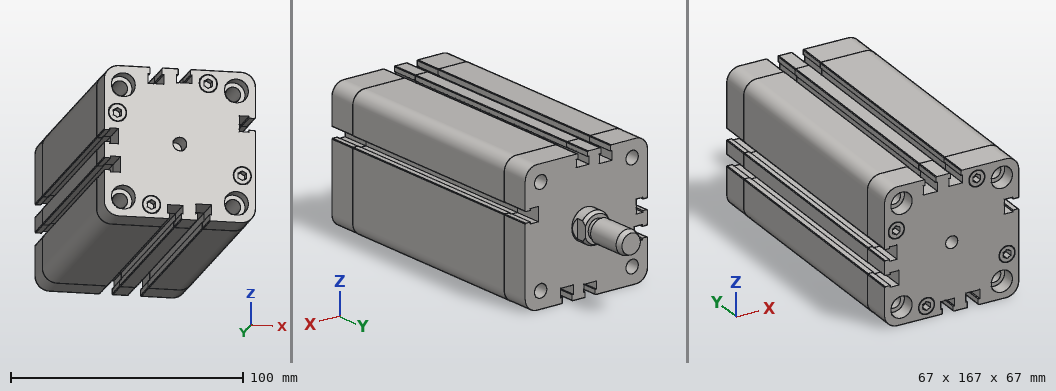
import cadquery as cq
import math


total_length = 167.0
rod_extension = 31.4
body_length = total_length - rod_extension
body_rear = -total_length / 2
body_front = body_rear + body_length

tube_width = 67.0
cap_length = 14.7
corner_radius = 6.5
cap_inset = 0.08

mouth_width = 5.2
mouth_chamfer = 0.3
deep_slot_offset = 10.5
deep_slot_width = 6.8
deep_slot_lip = 3.0
deep_slot_depth = 7.2
shallow_slot_offset = 2.0
shallow_slot_width = 6.7
shallow_slot_lip = 2.7
shallow_slot_depth = 6.2

mount_spacing = 50.0
mount_bore = 6.7
mount_counterbore = 10.5
mount_counterbore_depth = 6.7
centre_hole = 6.0
centre_hole_depth = 10.0

screw_edge_offset = 27.5
screw_side_offset = 12.5
screw_recess = 8.0
screw_head = 7.5
screw_recess_depth = 5.0
socket_across_flats = 3.7
socket_depth = 4.2

rod_diameter = 16.0
rod_chamfer_length = 2.0
rod_chamfer_depth = 1.0
flat_width = 13.0
flat_length = 5.7
thread_diameter = 12.0
thread_tip_diameter = 10.0
thread_tip_length = 2.8
thread_runout = 0.5
thread_length = 20.7
undercut_diameter = 10.0
undercut_length = 3.0

RIGHT_SIDE = 90
SIDE_ANGLES = (0, RIGHT_SIDE, 180, 270)


def plane_at(y):
    """Work plane facing +Y whose local axes are global X and -Z, seen from the rod end."""
    return cq.Workplane(cq.Plane(origin=(0, y, 0), xDir=(1, 0, 0), normal=(0, 1, 0)))


def around_y(shape, angle):
    return shape.rotate((0, 0, 0), (0, 1, 0), angle)


def slot_cutter(offset, pocket_width, lip_depth, depth, inset):
    """Long slot in the top side at x = offset, with every wall moved out by the inset."""
    top = tube_width / 2 - inset
    ceiling = tube_width / 2 - lip_depth + inset
    floor = tube_width / 2 - depth - inset
    mouth_half = mouth_width / 2 + inset
    pocket_half = pocket_width / 2 + inset
    right_wall = [
        (pocket_half, floor),
        (pocket_half, ceiling),
        (mouth_half, ceiling),
        (mouth_half, top - mouth_chamfer),
        (mouth_half + mouth_chamfer, top),
    ]
    left_wall = [(-x, z) for x, z in reversed(right_wall)]
    outline = [(offset + x, -z) for x, z in right_wall + left_wall]
    return plane_at(body_rear).polyline(outline).close().extrude(body_length)


def make_section(y_start, length, inset=0.0):
    """Slotted square bar; a positive inset shrinks its whole outline."""
    width = tube_width - 2 * inset
    bar = plane_at(y_start).rect(width, width).extrude(length)
    bar = bar.edges("|Y").fillet(corner_radius - inset)
    deep_slot = slot_cutter(
        -deep_slot_offset, deep_slot_width, deep_slot_lip, deep_slot_depth, inset
    )
    shallow_slot = slot_cutter(
        shallow_slot_offset, shallow_slot_width, shallow_slot_lip, shallow_slot_depth, inset
    )
    for angle in SIDE_ANGLES:
        bar = bar.cut(around_y(deep_slot, angle))
        if angle != RIGHT_SIDE:
            bar = bar.cut(around_y(shallow_slot, angle))
    return bar


def make_body():
    tube = make_section(body_rear + cap_length, body_length - 2 * cap_length)
    rear_cap = make_section(body_rear, cap_length, cap_inset)
    front_cap = make_section(body_front - cap_length, cap_length, cap_inset)
    return tube.union(rear_cap).union(front_cap)


def cut_holes(body):
    mounts = plane_at(body_rear).rect(mount_spacing, mount_spacing, forConstruction=True).vertices()
    bores = mounts.circle(mount_bore / 2).extrude(body_length)
    counterbores = mounts.circle(mount_counterbore / 2).extrude(mount_counterbore_depth)
    centre = plane_at(body_rear).circle(centre_hole / 2).extrude(centre_hole_depth)
    return body.cut(bores).cut(counterbores).cut(centre)


def hex_socket(angle):
    """Screw socket on the side at the given angle; every hexagon has corners facing up and down."""
    across_corners = socket_across_flats / math.cos(math.pi / 6)
    turn = math.radians(angle)
    x = screw_side_offset * math.cos(turn) + screw_edge_offset * math.sin(turn)
    z = screw_edge_offset * math.cos(turn) - screw_side_offset * math.sin(turn)
    hexagon = plane_at(body_rear).polygon(6, across_corners).extrude(socket_depth)
    return around_y(hexagon, 90).translate((x, 0, z))


def add_screws(body):
    """Cap screw heads flush with the rear face, each in a slightly wider recess."""
    rear_face = plane_at(body_rear).center(screw_side_offset, -screw_edge_offset)
    recess = rear_face.circle(screw_recess / 2).extrude(screw_recess_depth)
    head = rear_face.circle(screw_head / 2).extrude(screw_recess_depth)
    for angle in SIDE_ANGLES:
        body = body.cut(around_y(recess, angle)).union(around_y(head, angle))
        body = body.cut(hex_socket(angle))
    return body


def make_rod():
    rod_end = body_front + rod_extension - thread_length - undercut_length
    thread_start = rod_end + undercut_length
    thread_end = thread_start + thread_length
    rod_radius = rod_diameter / 2
    rod = (
        cq.Workplane("XY")
        .moveTo(0, body_front)
        .lineTo(rod_radius, body_front)
        .lineTo(rod_radius, rod_end - rod_chamfer_length)
        .lineTo(rod_radius - rod_chamfer_depth, rod_end)
        .lineTo(undercut_diameter / 2, rod_end)
        .lineTo(undercut_diameter / 2, thread_start - thread_runout)
        .lineTo(thread_diameter / 2, thread_start)
        .lineTo(thread_diameter / 2, thread_end - thread_tip_length)
        .lineTo(thread_tip_diameter / 2, thread_end)
        .lineTo(0, thread_end)
        .close()
        .revolve(360, (0, 0, 0), (0, 1, 0))
    )
    flat_depth = (rod_diameter - flat_width) / 2
    flat_start = rod_end - flat_length
    flat = (
        cq.Workplane("XY")
        .moveTo(flat_width / 2, rod_end)
        .lineTo(flat_width / 2, flat_start)
        .lineTo(rod_radius, flat_start - flat_depth)
        .lineTo(rod_radius, rod_end)
        .close()
        .extrude(rod_radius, both=True)
    )
    return rod.cut(flat).cut(flat.mirror("YZ"))


result = add_screws(cut_holes(make_body())).union(make_rod())